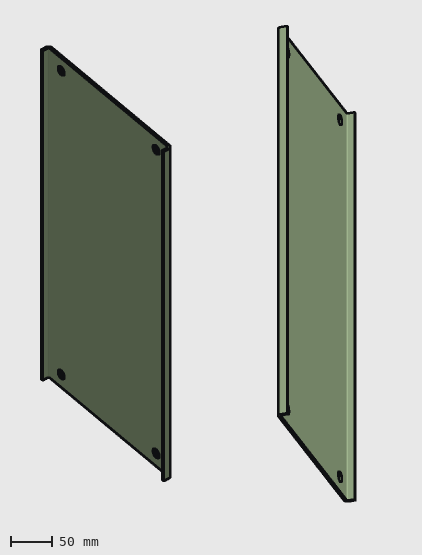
import cadquery as cq

width = 238.0
depth = 12.5
height = 530.0

sheet_thickness = 3.35
inner_bend_radius = 1.55
outer_bend_radius = inner_bend_radius + sheet_thickness

hole_diameter = 12.5
hole_spacing_x = 184.0
hole_spacing_z = 489.0


def channel_section(section_width, section_depth, bend_radius):
    """Rectangle against the back plane (Y = 0), rounded at its two back edges."""
    return (
        cq.Workplane("XY")
        .box(section_width, section_depth, height, centered=(True, False, True))
        .translate((0, -section_depth, 0))
        .edges("|Z and >Y")
        .fillet(bend_radius)
    )


outside = channel_section(width, depth, outer_bend_radius)
inside = channel_section(
    width - 2 * sheet_thickness, depth - sheet_thickness, inner_bend_radius
).translate((0, -sheet_thickness, 0))
channel = outside.cut(inside)

holes = (
    cq.Workplane("XZ")
    .rarray(hole_spacing_x, hole_spacing_z, 2, 2)
    .circle(hole_diameter / 2)
    .extrude(depth)
)

result = channel.cut(holes)